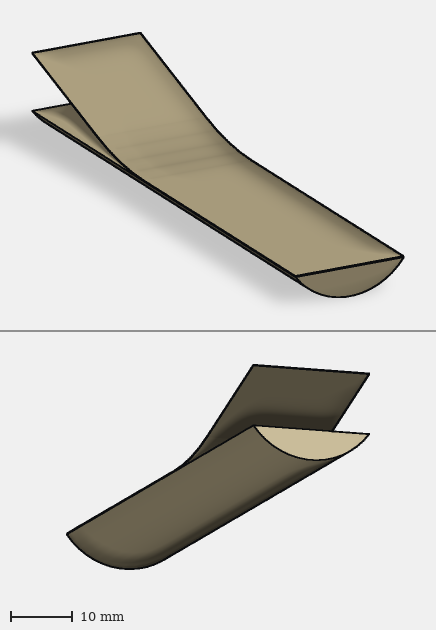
import cadquery as cq
import math

length = 90.0
width = 20.0
base_height = 5.0

strip_thickness = 0.15
strip_end_gap = 0.2
bend_start_x = 38.1
bend_radius = 50.0
peel_angle = math.radians(18.3)


def make_base():
    """Segment-shaped bar along X, flat top at Z = 0."""
    return (
        cq.Workplane("YZ")
        .moveTo(-width / 2, 0)
        .threePointArc((0, -base_height), (width / 2, 0))
        .close()
        .extrude(length)
    )


def bend_point(radius, angle):
    """Point on the bend, measured from where the strip leaves the flat."""
    return (
        bend_start_x - radius * math.sin(angle),
        bend_radius - radius * math.cos(angle),
    )


def make_strip():
    """Sheet that lies flat, bends upward and ends in a straight free tip."""
    inner_radius = bend_radius - strip_thickness
    strip_end_x = length - strip_end_gap
    lower_bend_end = bend_point(bend_radius, peel_angle)
    upper_bend_end = bend_point(inner_radius, peel_angle)

    lower_tip = (0, lower_bend_end[1] + lower_bend_end[0] * math.tan(peel_angle))
    upper_tip = (
        lower_tip[0] + strip_thickness * math.sin(peel_angle),
        lower_tip[1] + strip_thickness * math.cos(peel_angle),
    )
    return (
        cq.Workplane("XZ")
        .moveTo(strip_end_x, 0)
        .lineTo(bend_start_x, 0)
        .threePointArc(bend_point(bend_radius, peel_angle / 2), lower_bend_end)
        .lineTo(*lower_tip)
        .lineTo(*upper_tip)
        .lineTo(*upper_bend_end)
        .threePointArc(bend_point(inner_radius, peel_angle / 2), (bend_start_x, strip_thickness))
        .lineTo(strip_end_x, strip_thickness)
        .close()
        .extrude(width / 2, both=True)
    )


base = make_base()
strip = make_strip()
result = cq.Compound.makeCompound([base.val(), strip.val()])